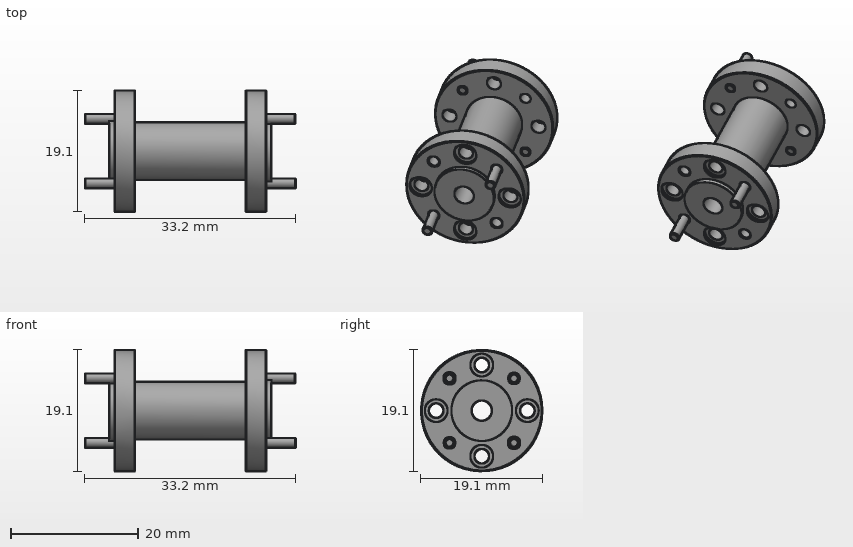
import cadquery as cq
import math

FLANGE_DIAMETER = 19.05
FLANGE_THICKNESS = 3.28
FLANGE_CHAMFER = 0.13
FLANGE_FACE = 11.95
FLANGE_BACK = FLANGE_FACE - FLANGE_THICKNESS
BOSS_DIAMETER = 9.55
BOSS_HEIGHT = 0.8
BOSS_FACE = FLANGE_FACE + BOSS_HEIGHT
TUBE_DIAMETER = 9.1
BORE_DIAMETER = 3.15

HOLE_CIRCLE_RADIUS = 7.15
BOLT_HOLE_DIAMETER = 2.25
COUNTERBORE_DIAMETER = 3.58
COUNTERBORE_DEPTH = 0.5
BOLT_ANGLES = (0, 90, 180, 270)
OPEN_HOLE_DIAMETER = 1.7
DOWEL_HOLE_CHAMFER = 0.13

PIN_DIAMETER = 1.55
PIN_CHAMFER_RADIAL = 0.15
PIN_CHAMFER_LENGTH = 0.13
PIN_TIP = 16.58
SHORT_PIN_SETBACK = 0.05
LEFT, RIGHT = -1, 1
PINS = (
    (LEFT, 135, PIN_TIP),
    (LEFT, 315, PIN_TIP),
    (RIGHT, 45, PIN_TIP - SHORT_PIN_SETBACK),
    (RIGHT, 225, PIN_TIP),
)
OPEN_HOLES = ((LEFT, 45), (LEFT, 225), (RIGHT, 135), (RIGHT, 315))


def revolve_about_x(profile, end=RIGHT, angle=None):
    """Revolve (x, radius) points about X; with an angle, move the axis onto the hole circle."""
    points = [(end * x, radius) for x, radius in profile]
    solid = cq.Workplane("XY").polyline(points).close().revolve(360, (0, 0, 0), (1, 0, 0))
    if angle is None:
        return solid
    y = HOLE_CIRCLE_RADIUS * math.cos(math.radians(angle))
    z = HOLE_CIRCLE_RADIUS * math.sin(math.radians(angle))
    return solid.translate((0, y, z))


def cylinder(start, stop, diameter, end=RIGHT, angle=None):
    radius = diameter / 2
    return revolve_about_x([(start, 0), (start, radius), (stop, radius), (stop, 0)], end, angle)


def make_flange(end):
    flange = cylinder(FLANGE_BACK, FLANGE_FACE, FLANGE_DIAMETER, end).edges().chamfer(FLANGE_CHAMFER)
    return flange.union(cylinder(FLANGE_BACK, BOSS_FACE, BOSS_DIAMETER, end))


def bolt_hole(end, angle):
    hole = cylinder(FLANGE_BACK, FLANGE_FACE, BOLT_HOLE_DIAMETER, end, angle)
    counterbore_floor = FLANGE_FACE - COUNTERBORE_DEPTH
    return hole.union(cylinder(counterbore_floor, FLANGE_FACE, COUNTERBORE_DIAMETER, end, angle))


def dowel_hole(end, angle, diameter):
    """Hole through the flange, chamfered at the outer face."""
    radius = diameter / 2
    return revolve_about_x([
        (FLANGE_BACK, 0),
        (FLANGE_BACK, radius),
        (FLANGE_FACE - DOWEL_HOLE_CHAMFER, radius),
        (FLANGE_FACE, radius + DOWEL_HOLE_CHAMFER),
        (FLANGE_FACE, 0),
    ], end, angle)


def make_housing():
    housing = cylinder(-FLANGE_FACE, FLANGE_FACE, TUBE_DIAMETER)
    for end in (LEFT, RIGHT):
        housing = housing.union(make_flange(end))
        for angle in BOLT_ANGLES:
            housing = housing.cut(bolt_hole(end, angle))
    for end, angle in OPEN_HOLES:
        housing = housing.cut(dowel_hole(end, angle, OPEN_HOLE_DIAMETER))
    for end, angle, _ in PINS:
        housing = housing.cut(dowel_hole(end, angle, PIN_DIAMETER))
    return housing.cut(cylinder(-BOSS_FACE, BOSS_FACE, BORE_DIAMETER))


def make_pin(end, angle, tip):
    radius = PIN_DIAMETER / 2
    end_radius = radius - PIN_CHAMFER_RADIAL
    return revolve_about_x([
        (FLANGE_BACK, 0),
        (FLANGE_BACK, end_radius),
        (FLANGE_BACK + PIN_CHAMFER_LENGTH, radius),
        (tip - PIN_CHAMFER_LENGTH, radius),
        (tip, end_radius),
        (tip, 0),
    ], end, angle)


housing = make_housing()
pins = [make_pin(end, angle, tip) for end, angle, tip in PINS]

result = cq.Compound.makeCompound([housing.val(), *[pin.val() for pin in pins]])